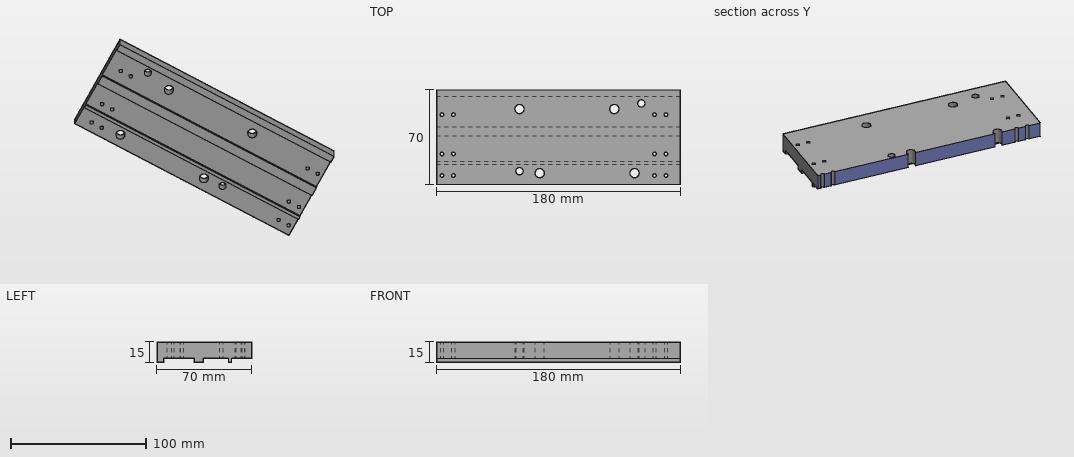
import cadquery as cq

LENGTH = 180.0
WIDTH = 70.0
HEIGHT = 15.0

RIB_HEIGHT = 3.0
RIBS = [(0.0, 5.0), (27.4, 6.8), (52.7, 2.3)]

SMALL_DIAMETER = 2.5
SMALL_COLUMN_SPACING = 8.5
LEFT_COLUMN_X = -86.0
RIGHT_COLUMN_X = 71.0
SMALL_ROWS_Y = [16.7, -12.2, -28.3]

LARGE_DIAMETER = 6.7
LARGE_SPACING = 70.0
REAR_LARGE_X = -28.8
REAR_LARGE_Y = 20.9
FRONT_LARGE_SHIFT = 15.0
FRONT_LARGE_Y = -26.5

MEDIUM_DIAMETER = 5.2
MEDIUM_OFFSET_Y = 25.0
FRONT_MEDIUM_X = REAR_LARGE_X
REAR_MEDIUM_X = 61.2


def make_plate():
    """Flat plate resting on top of the ribs."""
    plate_thickness = HEIGHT - RIB_HEIGHT
    plate = cq.Workplane("XY").box(LENGTH, WIDTH, plate_thickness, centered=(True, True, False))
    return plate.translate((0, 0, RIB_HEIGHT))


def make_rib(edge_distance, rib_width):
    """Rectangular rib running the full length of the plate."""
    center_y = WIDTH / 2 - edge_distance - rib_width / 2
    rib = cq.Workplane("XY").box(LENGTH, rib_width, RIB_HEIGHT, centered=(True, True, False))
    return rib.translate((0, center_y, 0))


def drill(body, points, diameter):
    """Cut vertical through holes at the given XY points."""
    drills = cq.Workplane("XY").pushPoints(points).circle(diameter / 2).extrude(HEIGHT)
    return body.cut(drills)


small_columns = [
    start + offset
    for start in (LEFT_COLUMN_X, RIGHT_COLUMN_X)
    for offset in (0, SMALL_COLUMN_SPACING)
]
small_points = [(x, y) for x in small_columns for y in SMALL_ROWS_Y]

large_points = []
for pair_x, pair_y in [
    (REAR_LARGE_X, REAR_LARGE_Y),
    (REAR_LARGE_X + FRONT_LARGE_SHIFT, FRONT_LARGE_Y),
]:
    large_points += [(pair_x, pair_y), (pair_x + LARGE_SPACING, pair_y)]

medium_points = [(FRONT_MEDIUM_X, -MEDIUM_OFFSET_Y), (REAR_MEDIUM_X, MEDIUM_OFFSET_Y)]

result = make_plate()
for rib_edge, width in RIBS:
    result = result.union(make_rib(rib_edge, width))

result = drill(result, small_points, SMALL_DIAMETER)
result = drill(result, large_points, LARGE_DIAMETER)
result = drill(result, medium_points, MEDIUM_DIAMETER)